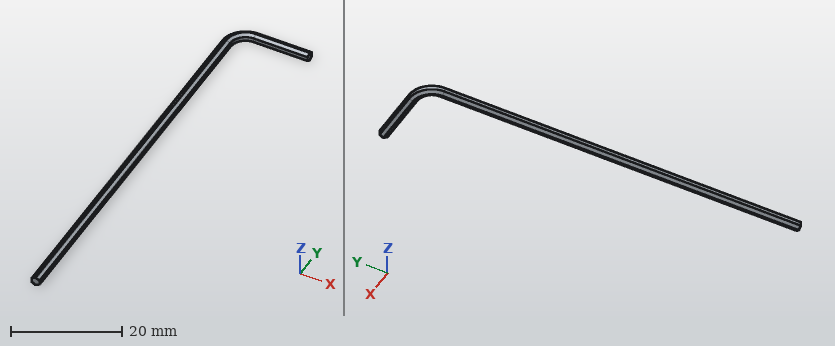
import cadquery as cq
import math

long_reach = 78.0
short_reach = 15.7
across_flats = 1.55
bend_radius = 3.9

half_flats = across_flats / 2
across_corners = across_flats / math.cos(math.radians(30))
long_straight = long_reach - half_flats - bend_radius
short_straight = short_reach - half_flats - bend_radius
bend_offset = bend_radius * math.sin(math.radians(45))

bend_start = (0, long_straight)
bend_middle = (bend_radius - bend_offset, long_straight + bend_offset)
bend_end = (bend_radius, long_straight + bend_radius)
short_end = (bend_radius + short_straight, long_straight + bend_radius)

centreline = (
    cq.Workplane("XY")
    .lineTo(*bend_start)
    .threePointArc(bend_middle, bend_end)
    .lineTo(*short_end)
)

section = (
    cq.Workplane("XZ")
    .transformed(rotate=(0, 0, 90))
    .polygon(6, across_corners)
)

result = section.sweep(centreline)